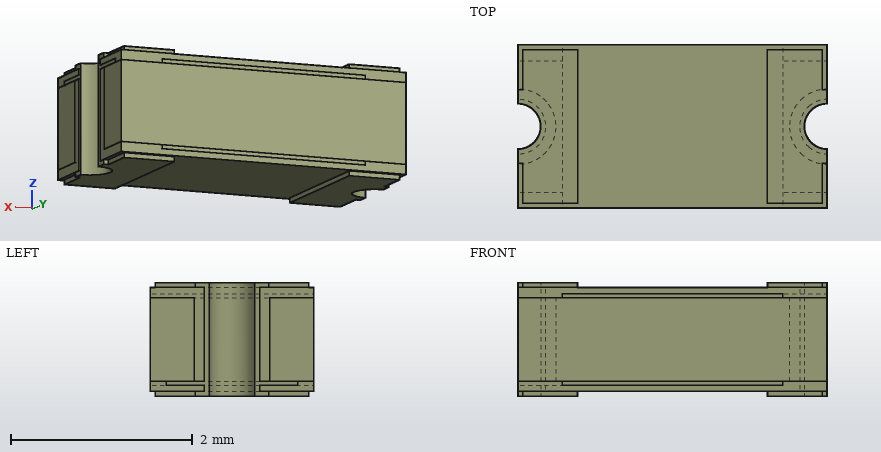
import cadquery as cq


length = 3.4
width = 1.8
height = 1.25

pad_thickness = 0.055
core_height = 0.918
foil_thickness = 0.045

pad_reach = 0.655
pad_inset = 0.055
pad_tab_width = 0.81

foil_length = 2.42
foil_tab_width = 1.45

notch_radius = 0.248
barrel_radius = notch_radius + pad_thickness
sleeve_radius = 0.415

end_x = -length / 2
pad_top = height / 2
insulation_top = pad_top - pad_thickness
core_top = core_height / 2
foil_bottom = -core_top - foil_thickness


def block(x_min, x_max, size_y, z_min, z_max):
    """Box between two X and two Z places, centred on Y."""
    return (
        cq.Workplane("XY", origin=((x_min + x_max) / 2, 0, z_min))
        .rect(x_max - x_min, size_y)
        .extrude(z_max - z_min)
    )


def end_cylinder(radius, z_min, z_max, x=end_x):
    """Upright cylinder centred on an end face."""
    return cq.Workplane("XY", origin=(x, 0, z_min)).circle(radius).extrude(z_max - z_min)


def half_turn(body):
    """The same body at the opposite end and face."""
    return body.rotate((0, 0, 0), (0, 1, 0), 180)


def make_core():
    """Core block with room for the insulating sleeves at both ends."""
    core = block(-length / 2, length / 2, width, -core_top, core_top)
    for x in (-length / 2, length / 2):
        core = core.cut(end_cylinder(sleeve_radius, -core_top, core_top, x))
    return core


def make_pad(z_min):
    """Inset pad with a narrower tab that runs out to the end face."""
    pad_inner_x = end_x + pad_reach
    pad = block(end_x + pad_inset, pad_inner_x, width - 2 * pad_inset, z_min, z_min + pad_thickness)
    tab = block(end_x, pad_inner_x, pad_tab_width, z_min, z_min + pad_thickness)
    return pad.union(tab)


def make_bottom_foil():
    """Foil under the core, with a tab that runs out to the -X end face."""
    foil = block(-foil_length / 2, foil_length / 2, width, foil_bottom, -core_top)
    tab = block(end_x, 0, foil_tab_width, foil_bottom, -core_top)
    return foil.union(tab)


def make_terminal():
    """Terminal at the -X end: two pads, the plated half barrel and the bottom foil."""
    outside = block(end_x - barrel_radius, end_x, width, -pad_top, pad_top)
    barrel = end_cylinder(barrel_radius, -pad_top, pad_top).cut(outside)
    return (
        barrel.union(make_pad(insulation_top))
        .union(make_pad(-pad_top))
        .union(make_bottom_foil())
        .cut(end_cylinder(notch_radius, -pad_top, pad_top))
    )


def make_top_insulation():
    """Layer over the core and top foil, with a sleeve down around the -X barrel."""
    layer = block(-length / 2, length / 2, width, core_top, insulation_top)
    outside = block(end_x - sleeve_radius, end_x, width, -core_top, insulation_top)
    sleeve = end_cylinder(sleeve_radius, -core_top, insulation_top).cut(outside)
    insulation = layer.union(sleeve).cut(half_turn(make_bottom_foil()))
    for x in (-length / 2, length / 2):
        insulation = insulation.cut(end_cylinder(barrel_radius, -core_top, insulation_top, x))
    return insulation


core = make_core()
terminal = make_terminal()
insulation = make_top_insulation()

bodies = [core.solids().val()]
for body in (terminal, insulation):
    bodies.append(body.solids().val())
    bodies.append(half_turn(body).solids().val())

result = cq.Compound.makeCompound(bodies)